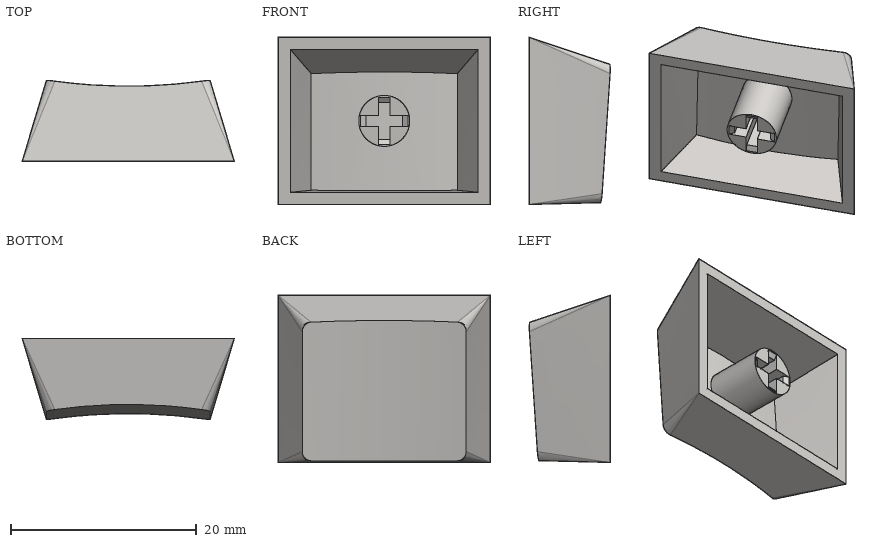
import cadquery as cq
import math

base_width = 22.85
base_height = 18.0

rim_width = 17.65
rim_height = 14.9
rim_corner_radius = 0.98
rim_center_y = 8.3
rim_center_z = -1.37
rim_tilt = math.radians(3.8)
dish_depth = 0.69
dish_radius = ((rim_width / 2) ** 2 + dish_depth ** 2) / (2 * dish_depth)
sharp_corner_radius = 0.005

ceiling_thickness = 1.2
mouth_width = 20.18
mouth_height = 15.35
ceiling_width = 15.72
ceiling_height = 12.57
ceiling_shift = 0.1
ceiling_radius = dish_radius + ceiling_thickness
ceiling_sag = ceiling_radius - math.sqrt(ceiling_radius ** 2 - (ceiling_width / 2) ** 2)
ceiling_inset = dish_depth + ceiling_thickness - ceiling_sag

stem_radius = 2.75
stem_reach = 9.15
cross_length = 3.98
cross_mouth_length = 5.07
cross_lead_in = 0.35
horizontal_arm_thickness = 1.19
vertical_arm_thickness = 1.25

rim_plane = cq.Plane(
    origin=(0, rim_center_y, rim_center_z),
    xDir=(1, 0, 0),
    normal=(0, math.cos(rim_tilt), -math.sin(rim_tilt)),
)
mouth_plane = cq.Plane(origin=(0, 0, 0), xDir=(1, 0, 0), normal=(0, 1, 0))


def rounded_rectangle(plane, width, height, radius):
    rectangle = cq.Workplane(plane).rect(width, height).val()
    return rectangle.fillet2D(radius, rectangle.Vertices())


def dish_cylinder(radius):
    """Cylinder about the dish axis, which runs up the tilted finger face."""
    axis_offset = dish_radius - dish_depth
    length = 2 * base_height
    start = rim_plane.toWorldCoords((0, length / 2, axis_offset))
    return cq.Workplane(cq.Solid.makeCylinder(radius, length, start, -rim_plane.yDir))


def outer_body():
    mouth = rounded_rectangle(mouth_plane, base_width, base_height, sharp_corner_radius)
    rim = rounded_rectangle(rim_plane, rim_width, rim_height, rim_corner_radius)
    body = cq.Workplane(cq.Solid.makeLoft([mouth, rim], True))
    return body.cut(dish_cylinder(dish_radius))


def cavity():
    mouth = cq.Workplane(mouth_plane).rect(mouth_width, mouth_height).val()
    ceiling_plane = cq.Plane(
        origin=rim_plane.toWorldCoords((0, -ceiling_shift, -ceiling_inset)),
        xDir=rim_plane.xDir,
        normal=rim_plane.zDir,
    )
    ceiling = cq.Workplane(ceiling_plane).rect(ceiling_width, ceiling_height).val()
    walls = cq.Solid.makeLoft([mouth, ceiling], True)
    return cq.Workplane(walls).cut(dish_cylinder(ceiling_radius))


def cross_arm(thickness):
    """Arm along X with a flared lead-in at both ends of its mouth."""
    half_mouth = cross_mouth_length / 2
    half_length = cross_length / 2
    return (
        cq.Workplane("XY")
        .moveTo(-half_mouth, 0)
        .lineTo(half_mouth, 0)
        .lineTo(half_length, cross_lead_in)
        .lineTo(half_length, stem_reach)
        .lineTo(-half_length, stem_reach)
        .lineTo(-half_length, cross_lead_in)
        .close()
        .extrude(thickness / 2, both=True)
    )


def stem():
    post = cq.Workplane(mouth_plane).circle(stem_radius).extrude(stem_reach)
    upright_arm = cross_arm(vertical_arm_thickness).rotate((0, 0, 0), (0, 1, 0), 90)
    return post.cut(cross_arm(horizontal_arm_thickness)).cut(upright_arm)


hollow = cavity().cut(stem())
result = outer_body().cut(hollow)